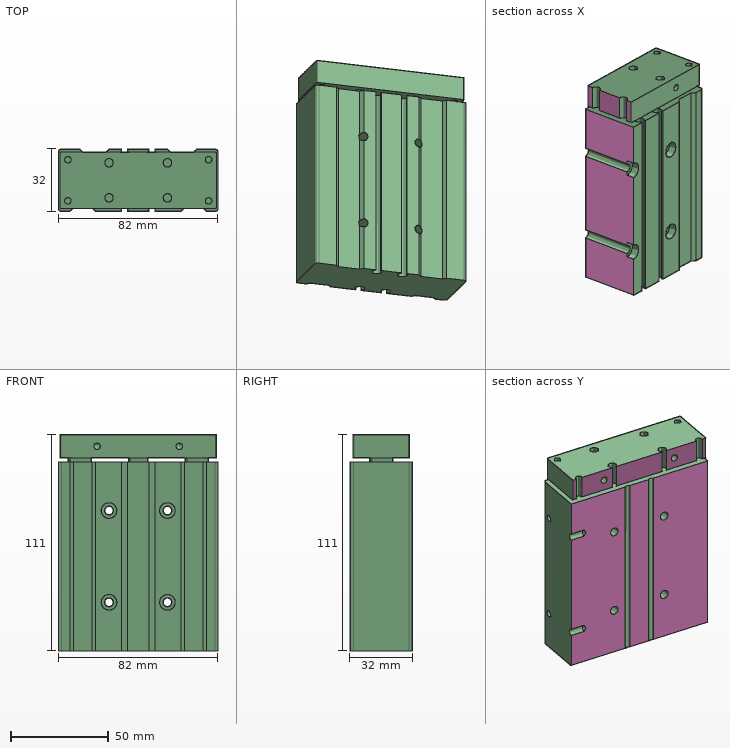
import cadquery as cq
import math

total_height = 111.0
housing_width = 82.0
housing_depth = 32.0
housing_height = 97.0
housing_corner_radius = 1.7

plate_width = 80.0
plate_depth = 29.0
plate_thickness = 12.0
plate_corner_radius = 0.4
plate_bottom = total_height - plate_thickness
plate_mid_height = total_height - plate_thickness / 2
guide_rod_diameter = 12.0
guide_rod_offset = 30.0
piston_rod_diameter = 10.0

channel_depth = 1.8
front_channel_inner_edge = 21.9
front_channel_outer_edge = 35.1
back_channel_inner_edge = 14.9
back_channel_outer_edge = 30.0

groove_slot_width = 3.0
groove_offset = 7.0
groove_diameter = 5.0
groove_centre_depth = 3.0

mount_hole_offset = 15.0
mount_hole_heights = (25.0, 72.0)
mount_hole_diameter = 4.3
mount_bore_diameter = 8.0
mount_bore_depth = 4.2

tap_diameter = 3.3
tap_depth = 7.8
drill_point_angle = 118.0
side_hole_offset = 10.9
side_hole_heights = (19.9, 77.0)
plate_front_hole_offset = 21.1

plate_inner_hole_diameter = 4.3
plate_inner_hole_x = 15.0
plate_inner_hole_y = 9.0
plate_corner_hole_diameter = 3.3
plate_corner_hole_x = 36.1
plate_corner_hole_y = 10.5


def channel(side, face, inner_edge, outer_edge):
    """Full-height channel cutter; side is the sign of X, face the sign of Y."""
    surface = face * housing_depth / 2
    floor = surface - face * channel_depth
    return (
        cq.Workplane("XY")
        .moveTo(side * inner_edge, surface)
        .lineTo(side * outer_edge, surface)
        .lineTo(side * (outer_edge - channel_depth), floor)
        .lineTo(side * (inner_edge + channel_depth), floor)
        .close()
        .extrude(housing_height)
    )


def groove(side, face):
    """Full-height cutter: a round channel joined to the surface by a narrower slot."""
    surface = face * housing_depth / 2
    centre = (side * groove_offset, surface - face * groove_centre_depth, 0)
    slot_middle = (side * groove_offset, surface - face * groove_centre_depth / 2)
    slot = (
        cq.Workplane("XY")
        .center(*slot_middle)
        .rect(groove_slot_width, groove_centre_depth)
        .extrude(housing_height)
    )
    return slot.union(cylinder(groove_diameter, housing_height, centre, (0, 0, 1)))


def cylinder(diameter, length, start, direction):
    """Cylinder that runs from the centre of one end along the given direction."""
    solid = cq.Solid.makeCylinder(diameter / 2, length, cq.Vector(*start), cq.Vector(*direction))
    return cq.Workplane(solid)


def drilled_hole(start, direction):
    """Blind tapping hole cutter whose end is a cone."""
    radius = tap_diameter / 2
    point_length = radius / math.tan(math.radians(drill_point_angle / 2))
    axis = cq.Vector(*direction)
    point_start = cq.Vector(*start) + axis * tap_depth
    point = cq.Solid.makeCone(radius, 0, point_length, point_start, axis)
    return cylinder(tap_diameter, tap_depth, start, direction).union(cq.Workplane(point))


def mounting_hole(x, z):
    """Through hole along Y with a counterbore on the front face."""
    start = (x, -housing_depth / 2, z)
    through = cylinder(mount_hole_diameter, housing_depth, start, (0, 1, 0))
    return through.union(cylinder(mount_bore_diameter, mount_bore_depth, start, (0, 1, 0)))


def make_housing():
    body = (
        cq.Workplane("XY")
        .rect(housing_width, housing_depth)
        .extrude(housing_height)
        .edges("|Z")
        .fillet(housing_corner_radius)
    )
    for side in (-1, 1):
        body = body.cut(channel(side, -1, front_channel_inner_edge, front_channel_outer_edge))
        body = body.cut(channel(side, 1, back_channel_inner_edge, back_channel_outer_edge))
        for face in (-1, 1):
            body = body.cut(groove(side, face))
        for height in mount_hole_heights:
            body = body.cut(mounting_hole(side * mount_hole_offset, height))
        for height in side_hole_heights:
            start = (-housing_width / 2, side * side_hole_offset, height)
            body = body.cut(drilled_hole(start, (1, 0, 0)))
    return body


def rod(diameter, x):
    """Rod from the top of the housing up to the underside of the end plate."""
    return cylinder(diameter, plate_bottom - housing_height, (x, 0, housing_height), (0, 0, 1))


def drill_through_plate(plate, diameter, x, y):
    """Drill four through holes at the corners of a rectangle centred on the plate."""
    return (
        plate.faces(">Z")
        .workplane(origin=(0, 0, total_height))
        .rect(2 * x, 2 * y, forConstruction=True)
        .vertices()
        .hole(diameter)
    )


def make_end_plate():
    """End plate in one piece with its piston rod and two guide rods."""
    plate = (
        cq.Workplane("XY", origin=(0, 0, plate_bottom))
        .rect(plate_width, plate_depth)
        .extrude(plate_thickness)
        .edges("|Z")
        .fillet(plate_corner_radius)
    )
    plate = drill_through_plate(plate, plate_inner_hole_diameter, plate_inner_hole_x, plate_inner_hole_y)
    plate = drill_through_plate(plate, plate_corner_hole_diameter, plate_corner_hole_x, plate_corner_hole_y)
    plate = plate.union(rod(piston_rod_diameter, 0))
    for side in (-1, 1):
        plate = plate.union(rod(guide_rod_diameter, side * guide_rod_offset))
        start = (side * plate_front_hole_offset, -plate_depth / 2, plate_mid_height)
        plate = plate.cut(drilled_hole(start, (0, 1, 0)))
    return plate


housing = make_housing()
end_plate = make_end_plate()
result = cq.Compound.makeCompound([housing.val(), end_plate.val()])